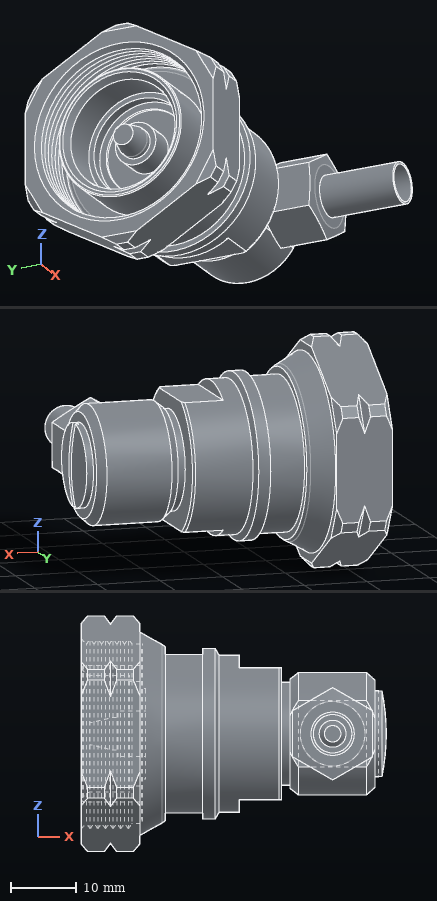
import cadquery as cq
import math


NUT_FLATS = 32.15
NUT_CORNER_RADIUS = 36.0 / 2
NUT_LENGTH = 8.95
NUT_BEVEL_LENGTH = 1.0
NUT_BEVEL_DEPTH = 1.15
NUT_NOTCH_HALF_WIDTH = 0.95
NUT_NOTCH_DEPTH = 1.25

THREAD_ROOT_RADIUS = 14.5
THREAD_CREST_RADIUS = 13.7
THREAD_PITCH = 1.15
THREAD_RINGS = 6
THREAD_MOUTH_BEVEL = THREAD_ROOT_RADIUS - THREAD_CREST_RADIUS

SEAT_X = 9.22
SEAT_RADIUS = 13.5
SEAT_FACE_RADIUS = 12.95
SEAT_BEVEL_LENGTH = 0.15
SEAT_GAP_END = SEAT_X + SEAT_BEVEL_LENGTH

SLEEVE_X = 0.2
SLEEVE_RADIUS = 10.45
SLEEVE_EDGE = 0.2
SLEEVE_BORE = 8.9
SLEEVE_MOUTH_DEPTH = 0.85
SLEEVE_MOUTH_LENGTH = 1.05
SLEEVE_BORE_END = 7.35
STEP_BORE = 8.0
STEP_BORE_END = 9.3
FLOOR_RECESS_RADIUS = 6.9
FLOOR_X = 9.8

ROOT_OVERLAP = 0.45

PIN_TIP_X = 1.35
PIN_TIP_RADIUS = 1.7
PIN_RADIUS = 2.45
PIN_CONE_END = 4.6
PIN_SHOULDER_X = 5.6
PIN_SHOULDER_RADIUS = 3.45

SKIRT_START_RADIUS = 15.55
SKIRT_END_RADIUS = 13.65
SKIRT_CONE_END = 12.35
SKIRT_EDGE_RADIUS = 13.3
SKIRT_END = 12.85
BARREL_RADIUS = 12.1
COLLAR_X = 18.55
COLLAR_END = 21.05
COLLAR_RADIUS = 13.05
COLLAR_BEVEL_LENGTH = 0.6
REAR_RADIUS = 12.0
REAR_END = 30.6
REAR_BEVEL = 0.35
WRENCH_FLAT_X = 24.15
WRENCH_FLAT_HEIGHT = 10.1

NECK_RADIUS = 7.87
BLOCK_X = 31.85
BLOCK_END = 44.85
BLOCK_RADIUS = 9.35
BLOCK_BEVEL_LENGTH = 1.3
BLOCK_FRONT_RADIUS = 8.35
BLOCK_BACK_RADIUS = 8.2
BLOCK_FLAT_Y = -NECK_RADIUS

CAP_RADIUS = 6.55
CAP_RIM_X = 45.95
CAP_END = 46.6
SLOT_WIDTH = 1.25
SLOT_DEPTH = 1.15

TOTAL_WIDTH = 45.2
OUTLET_X = 38.4
OUTLET_FLATS = 12.2
OUTLET_END_Y = -16.6
OUTLET_FACE_RADIUS = 4.95
OUTLET_BEVEL_SLOPE = 0.2
TUBE_RADIUS = 3.3
TUBE_BORE = 2.95
TUBE_END_Y = NUT_FLATS / 2 - TOTAL_WIDTH
WIRE_RADIUS = 2.05
WIRE_TIP_RADIUS = 1.25
WIRE_TIP_Y = -17.25


def turned(points):
    """Solid of revolution about X from (x, radius) points, closed along the axis."""
    outline = [(points[0][0], 0), *points, (points[-1][0], 0)]
    return cq.Workplane("XY").polyline(outline).close().revolve(360, (0, 0, 0), (1, 0, 0))


def hexagon(plane, flats):
    return cq.Workplane(plane).polygon(6, flats / math.cos(math.pi / 6))


def nut_blank():
    """Hexagon with corners at +Z and -Z, with flats, bevels and a notch cut on each corner."""
    corner_z = NUT_CORNER_RADIUS
    bevel_z = corner_z - NUT_BEVEL_DEPTH
    middle = NUT_LENGTH / 2
    corner_profile = [
        (0, 0),
        (0, bevel_z),
        (NUT_BEVEL_LENGTH, corner_z),
        (middle - NUT_NOTCH_HALF_WIDTH, corner_z),
        (middle, corner_z - NUT_NOTCH_DEPTH),
        (middle + NUT_NOTCH_HALF_WIDTH, corner_z),
        (NUT_LENGTH - NUT_BEVEL_LENGTH, corner_z),
        (NUT_LENGTH, bevel_z),
        (NUT_LENGTH, 0),
    ]
    half_slab = cq.Workplane("XZ").polyline(corner_profile).close().extrude(NUT_FLATS, both=True)
    slab = half_slab.union(half_slab.mirror("XY"))
    blank = hexagon("YZ", NUT_FLATS).extrude(NUT_LENGTH).rotate((0, 0, 0), (1, 0, 0), 90)
    for angle in (0, 60, 120):
        blank = blank.intersect(slab.rotate((0, 0, 0), (1, 0, 0), angle))
    return blank


def body():
    """Skirt, barrel, collar, rear with two wrench flats, and neck, all turned about X."""
    turned_body = turned([
        (NUT_LENGTH, SKIRT_START_RADIUS),
        (SKIRT_CONE_END, SKIRT_END_RADIUS),
        (SKIRT_END, SKIRT_EDGE_RADIUS),
        (SKIRT_END, BARREL_RADIUS),
        (COLLAR_X, BARREL_RADIUS),
        (COLLAR_X, COLLAR_RADIUS),
        (COLLAR_END - COLLAR_BEVEL_LENGTH, COLLAR_RADIUS),
        (COLLAR_END, REAR_RADIUS),
        (REAR_END - REAR_BEVEL, REAR_RADIUS),
        (REAR_END, REAR_RADIUS - REAR_BEVEL),
        (REAR_END, NECK_RADIUS),
        (BLOCK_X, NECK_RADIUS),
    ])
    flat_length = REAR_END - WRENCH_FLAT_X
    cutter_height = COLLAR_RADIUS - WRENCH_FLAT_HEIGHT
    for side in (1, -1):
        cutter = cq.Workplane("XY").box(flat_length, 2 * COLLAR_RADIUS, cutter_height).translate(
            (WRENCH_FLAT_X + flat_length / 2, 0, side * (WRENCH_FLAT_HEIGHT + cutter_height / 2))
        )
        turned_body = turned_body.cut(cutter)
    return turned_body


def cavity():
    """Threaded opening of the nut, down to the bevelled seat around the sleeve."""
    points = [(0, THREAD_ROOT_RADIUS), (THREAD_MOUTH_BEVEL, THREAD_CREST_RADIUS)]
    for ring in range(THREAD_RINGS):
        ring_start = THREAD_MOUTH_BEVEL + ring * THREAD_PITCH
        points.append((ring_start + THREAD_PITCH / 2, THREAD_ROOT_RADIUS))
        points.append((ring_start + THREAD_PITCH, THREAD_CREST_RADIUS))
    points.append((SEAT_GAP_END, THREAD_CREST_RADIUS))
    points.append((SEAT_GAP_END, SEAT_RADIUS))
    points.append((SEAT_X, SEAT_FACE_RADIUS))
    return turned(points)


def sleeve():
    return turned([
        (SLEEVE_X, SLEEVE_RADIUS - SLEEVE_EDGE),
        (SLEEVE_X + SLEEVE_EDGE, SLEEVE_RADIUS),
        (FLOOR_X + ROOT_OVERLAP, SLEEVE_RADIUS),
    ])


def sleeve_bore():
    return turned([
        (SLEEVE_X, SLEEVE_BORE + SLEEVE_MOUTH_DEPTH),
        (SLEEVE_X + SLEEVE_MOUTH_LENGTH, SLEEVE_BORE),
        (SLEEVE_BORE_END, SLEEVE_BORE),
        (SLEEVE_BORE_END, STEP_BORE),
        (STEP_BORE_END, STEP_BORE),
        (STEP_BORE_END, FLOOR_RECESS_RADIUS),
        (FLOOR_X, FLOOR_RECESS_RADIUS),
    ])


def centre_pin():
    return turned([
        (PIN_TIP_X, PIN_TIP_RADIUS),
        (PIN_CONE_END, PIN_RADIUS),
        (PIN_SHOULDER_X, PIN_RADIUS),
        (PIN_SHOULDER_X, PIN_SHOULDER_RADIUS),
        (FLOOR_X + ROOT_OVERLAP, PIN_SHOULDER_RADIUS),
    ])


def angle_block():
    """Bevelled drum with a flat facing the outlet."""
    drum = turned([
        (BLOCK_X, BLOCK_FRONT_RADIUS),
        (BLOCK_X + BLOCK_BEVEL_LENGTH, BLOCK_RADIUS),
        (BLOCK_END - BLOCK_BEVEL_LENGTH, BLOCK_RADIUS),
        (BLOCK_END, BLOCK_BACK_RADIUS),
    ])
    flat_cutter = (
        cq.Workplane("XZ", origin=(OUTLET_X, BLOCK_FLAT_Y, 0))
        .rect(2 * BLOCK_RADIUS, 2 * BLOCK_RADIUS)
        .extrude(BLOCK_RADIUS)
    )
    return drum.cut(flat_cutter)


def cap():
    disc_and_dome = (
        cq.Workplane("XY")
        .moveTo(BLOCK_END, 0)
        .lineTo(BLOCK_END, CAP_RADIUS)
        .lineTo(CAP_RIM_X, CAP_RADIUS)
        .radiusArc((CAP_END, 0), dome_radius())
        .close()
        .revolve(360, (0, 0, 0), (1, 0, 0))
    )
    slot = cq.Workplane("XY").box(2 * SLOT_DEPTH, SLOT_WIDTH, 2 * CAP_RADIUS).translate((CAP_END, 0, 0))
    return disc_and_dome.cut(slot)


def dome_radius():
    rise = CAP_END - CAP_RIM_X
    return (CAP_RADIUS**2 + rise**2) / (2 * rise)


def outlet():
    """Hexagonal nut, cable tube and inner wire, built along X and turned to point along -Y."""
    nut_start = -BLOCK_FLAT_Y
    nut_end = -OUTLET_END_Y
    corner_radius = OUTLET_FLATS / math.sqrt(3)
    bevel = (corner_radius - OUTLET_FACE_RADIUS) * OUTLET_BEVEL_SLOPE
    envelope = turned([
        (nut_start, OUTLET_FACE_RADIUS),
        (nut_start + bevel, corner_radius),
        (nut_end - bevel, corner_radius),
        (nut_end, OUTLET_FACE_RADIUS),
    ])
    tube_end = -TUBE_END_Y
    wire_tip = -WIRE_TIP_Y
    cone_length = WIRE_RADIUS - WIRE_TIP_RADIUS
    nut = hexagon("YZ", OUTLET_FLATS).extrude(nut_end).rotate((0, 0, 0), (1, 0, 0), 90)
    nut = nut.intersect(envelope)
    tube = turned([(nut_start, TUBE_RADIUS), (tube_end, TUBE_RADIUS)])
    bore = turned([(nut_start, TUBE_BORE), (tube_end, TUBE_BORE)])
    wire = turned([
        (nut_start, WIRE_RADIUS),
        (wire_tip - cone_length, WIRE_RADIUS),
        (wire_tip, WIRE_TIP_RADIUS),
    ])
    along_x = nut.union(tube).cut(bore).union(wire)
    return along_x.rotate((0, 0, 0), (0, 0, 1), -90).translate((OUTLET_X, 0, 0))


result = (
    nut_blank()
    .union(body())
    .cut(cavity())
    .union(sleeve())
    .cut(sleeve_bore())
    .union(centre_pin())
    .union(angle_block())
    .union(cap())
    .union(outlet())
)